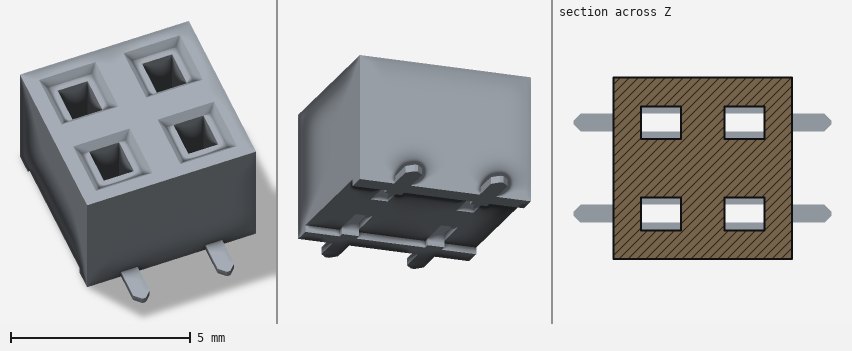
import cadquery as cq


pitch = 2.54
rows = 2
body_length = 5.0
body_width = rows * pitch
height = 3.7

lead_span = 7.2
lead_width = 0.5
lead_thickness = 0.2
lead_tip_chamfer = 0.2

mouth_size = 1.7
throat_size = 1.3
funnel_depth = (mouth_size - throat_size) / 2
contact_thickness = lead_thickness
floor_thickness = 0.2

standoff = lead_thickness
foot_inner_x = pitch / 2 + throat_size / 2
lead_inner_x = foot_inner_x - contact_thickness

cavity_inner_x = pitch / 2 - throat_size / 2
cavity_length = lead_inner_x - cavity_inner_x
cavity_width = throat_size - 2 * contact_thickness
cavity_center_x = (lead_inner_x + cavity_inner_x) / 2
cavity_floor_z = standoff + floor_thickness


def make_housing():
    """Block with a recess under its middle, which leaves a foot along each outer side."""
    block = cq.Workplane("XY").box(body_length, body_width, height, centered=(True, True, False))
    recess = cq.Workplane("XY").box(
        2 * foot_inner_x, body_width, standoff, centered=(True, True, False)
    )
    return block.cut(recess)


def make_cavity(side, row_y):
    """Funnel, contact cavity and floor slot of one position; side is -1 or +1 along X."""
    funnel = (
        cq.Workplane("XY")
        .workplane(offset=height)
        .center(side * pitch / 2, row_y)
        .rect(mouth_size, mouth_size)
        .workplane(offset=-funnel_depth)
        .rect(throat_size, throat_size)
        .loft(ruled=True)
    )
    chamber = (
        cq.Workplane("XY")
        .workplane(offset=cavity_floor_z)
        .center(side * cavity_center_x, row_y)
        .rect(cavity_length, cavity_width)
        .extrude(height - funnel_depth - cavity_floor_z)
    )
    floor_slot = (
        cq.Workplane("XY")
        .center(side * cavity_center_x, row_y)
        .rect(cavity_length, lead_width)
        .extrude(cavity_floor_z)
    )
    return funnel.union(chamber).union(floor_slot)


def make_lead(side, row_y):
    """Flat lead from under the cavity wall to a tip with chamfered corners."""
    length = lead_span / 2 - lead_inner_x
    outward = ">X" if side > 0 else "<X"
    return (
        cq.Workplane("XY")
        .center(side * (lead_inner_x + length / 2), row_y)
        .rect(length, lead_width)
        .extrude(lead_thickness)
        .faces(outward)
        .edges("|Z")
        .chamfer(lead_tip_chamfer)
    )


result = make_housing()
for side in (-1, 1):
    for row in range(rows):
        row_y = (row - (rows - 1) / 2) * pitch
        result = result.cut(make_cavity(side, row_y))
        result = result.union(make_lead(side, row_y))